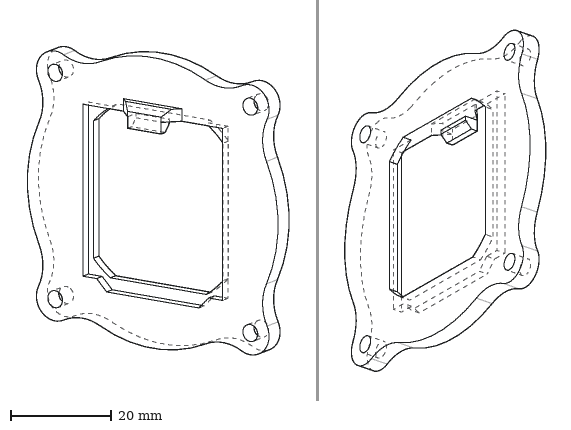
import cadquery as cq
import math

plate_thickness = 4.0
disc_radius = 30.0
ear_radius = 4.5
ear_pitch_radius = 33.0
blend_radius = 10.0
screw_hole_diameter = 3.5
ear_count = 4
ear_step = 360 / ear_count
first_ear_angle = ear_step / 2

window_top = 17.85
window_bottom = -17.6
recess_half_width = 16.7
recess_depth = 2.0
opening_half_width = 15.5
opening_corner_radius = 21.0

pocket_top_half_width = 13.4
pocket_height = 2.4

clip_reach = 3.0
clip_top = 20.45
clip_bottom = 15.45
clip_bevel = 1.5
lip_half_width = 4.0
clip_base_half_width = lip_half_width + clip_reach


def polar(radius, angle):
    """Point (x, z) at an angle in degrees, counted from +X toward +Z."""
    return (radius * math.cos(math.radians(angle)), radius * math.sin(math.radians(angle)))


def point_toward(start, target, distance):
    """Point at a distance from start on the line to target."""
    fraction = distance / math.dist(start, target)
    return (
        start[0] + fraction * (target[0] - start[0]),
        start[1] + fraction * (target[1] - start[1]),
    )


def blend_offset_angle():
    """Angle at the plate centre between an ear and the centre of a blend arc beside it."""
    to_blend = disc_radius + blend_radius
    ear_to_blend = ear_radius + blend_radius
    cosine = (to_blend**2 + ear_pitch_radius**2 - ear_to_blend**2) / (2 * to_blend * ear_pitch_radius)
    return math.degrees(math.acos(cosine))


def make_plate():
    """Plate outline of tangent arcs: for each ear a blend, the ear, a blend and a disc lobe."""
    offset = blend_offset_angle()
    outline = cq.Workplane("XZ").moveTo(*polar(disc_radius, first_ear_angle - offset))
    for index in range(ear_count):
        ear_angle = first_ear_angle + index * ear_step
        ear = polar(ear_pitch_radius, ear_angle)
        ear_tip = polar(ear_pitch_radius + ear_radius, ear_angle)
        blend_in = polar(disc_radius + blend_radius, ear_angle - offset)
        blend_out = polar(disc_radius + blend_radius, ear_angle + offset)
        ear_start = point_toward(ear, blend_in, ear_radius)
        ear_end = point_toward(ear, blend_out, ear_radius)
        disc_start = polar(disc_radius, ear_angle + offset)
        disc_end = polar(disc_radius, ear_angle + ear_step - offset)
        outline = (
            outline.radiusArc(ear_start, blend_radius)
            .threePointArc(ear_tip, ear_end)
            .radiusArc(disc_start, blend_radius)
            .threePointArc(polar(disc_radius, ear_angle + ear_step / 2), disc_end)
        )
    return outline.close().extrude(-plate_thickness)


def make_screw_holes():
    """One through hole at the centre of each ear."""
    return (
        cq.Workplane("XZ")
        .polarArray(ear_pitch_radius, first_ear_angle, 360, ear_count)
        .circle(screw_hole_diameter / 2)
        .extrude(-plate_thickness)
    )


def window_block(half_width, depth):
    """Block of the window's height, from the front face to the given depth."""
    return (
        cq.Workplane("XZ")
        .moveTo(-half_width, window_bottom)
        .lineTo(half_width, window_bottom)
        .lineTo(half_width, window_top)
        .lineTo(-half_width, window_top)
        .close()
        .extrude(-depth)
    )


def make_window():
    """Front recess together with the corner-rounded opening behind it."""
    corner_circle = cq.Workplane("XZ").circle(opening_corner_radius).extrude(-plate_thickness)
    opening = window_block(opening_half_width, plate_thickness).intersect(corner_circle)
    return opening.union(window_block(recess_half_width, recess_depth))


def make_pocket():
    """Pocket that widens the recess downward and narrows toward its floor."""
    pocket_floor = window_bottom - pocket_height
    floor_half_width = pocket_top_half_width - pocket_height
    return (
        cq.Workplane("XZ")
        .moveTo(-pocket_top_half_width, window_bottom)
        .lineTo(-floor_half_width, pocket_floor)
        .lineTo(floor_half_width, pocket_floor)
        .lineTo(pocket_top_half_width, window_bottom)
        .close()
        .extrude(-recess_depth)
    )


def make_clip():
    """Bevelled bar, trimmed to slanted flanks above the window edge and to a narrow lip below it."""
    bar = (
        cq.Workplane("YZ")
        .moveTo(0, clip_top)
        .lineTo(clip_bevel - clip_reach, clip_top)
        .lineTo(-clip_reach, clip_top - clip_bevel)
        .lineTo(-clip_reach, clip_bottom)
        .lineTo(-clip_bevel, clip_bottom)
        .lineTo(0, clip_bottom + clip_bevel)
        .close()
        .extrude(clip_base_half_width, both=True)
    )
    head = (
        cq.Workplane("XY", origin=(0, 0, window_top))
        .moveTo(-clip_base_half_width, 0)
        .lineTo(-lip_half_width, -clip_reach)
        .lineTo(lip_half_width, -clip_reach)
        .lineTo(clip_base_half_width, 0)
        .close()
        .extrude(clip_top - window_top)
    )
    lip = (
        cq.Workplane("XY", origin=(0, -clip_reach / 2, clip_bottom))
        .rect(2 * lip_half_width, clip_reach)
        .extrude(window_top - clip_bottom)
    )
    return bar.intersect(head.union(lip))


plate = make_plate().cut(make_screw_holes()).cut(make_window()).cut(make_pocket())
result = plate.union(make_clip())